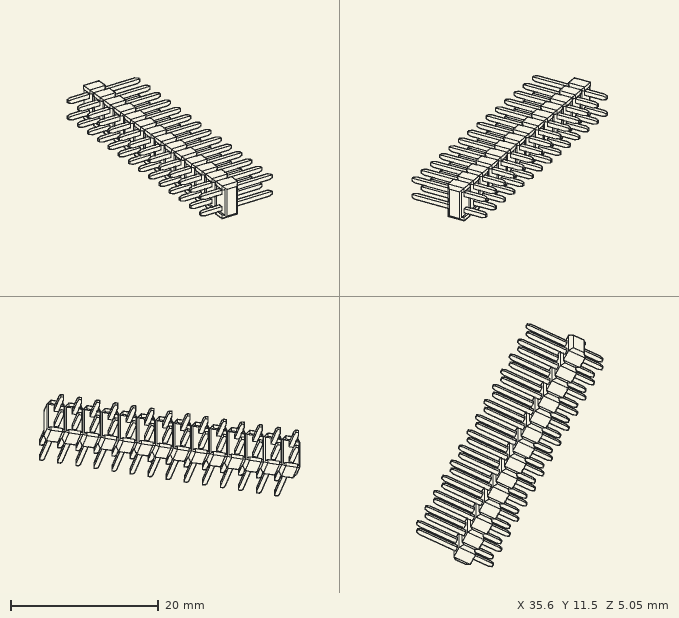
import cadquery as cq

overall_length = 35.55
position_count = 14
pitch = overall_length / position_count

block_depth = 2.52
block_height = 5.05
bevel = 0.45

recess_depth = 0.3
recess_border = 0.57

pin_width = 0.65
pin_front_reach = 3.02
pin_back_reach = 6.0
tip_length = 0.55
tip_width = 0.4

front_face_y = -block_depth / 2
pin_front_y = front_face_y - pin_front_reach
pin_length = pin_front_reach + block_depth + pin_back_reach

column_positions = [(i - (position_count - 1) / 2) * pitch for i in range(position_count)]
row_positions = [-pitch / 2, pitch / 2]


def housing_block():
    """One insulator block with all edges of its two X ends bevelled."""
    block = cq.Workplane("XY").box(pitch, block_depth, block_height)
    return block.faces("<X or >X").edges().chamfer(bevel)


def front_recess():
    """Bar removed along the whole front face, leaving a top and a bottom lip."""
    bar = cq.Workplane("XY").box(
        overall_length,
        recess_depth,
        block_height - 2 * recess_border,
    )
    return bar.translate((0, front_face_y + recess_depth / 2, 0))


def pin_tip():
    """Tapered pin end that narrows toward +Y from a base at Y = 0."""
    return (
        cq.Workplane("XZ")
        .rect(pin_width, pin_width)
        .workplane(offset=-tip_length)
        .rect(tip_width, tip_width)
        .loft(combine=True)
    )


def contact_pin():
    """Square pin along Y, tapered at both ends."""
    shank_length = pin_length - 2 * tip_length
    shank = cq.Workplane("XY").box(pin_width, shank_length, pin_width)
    back_tip = pin_tip().translate((0, shank_length / 2, 0))
    front_tip = back_tip.mirror("XZ")
    pin = shank.union(back_tip).union(front_tip)
    return pin.translate((0, pin_front_y + pin_length / 2, 0))


block = housing_block()
pin = contact_pin()

housing = block.translate((column_positions[0], 0, 0))
for x in column_positions[1:]:
    housing = housing.union(block.translate((x, 0, 0)))
housing = housing.cut(front_recess())

result = housing
for x in column_positions:
    for z in row_positions:
        result = result.union(pin.translate((x, 0, z)))